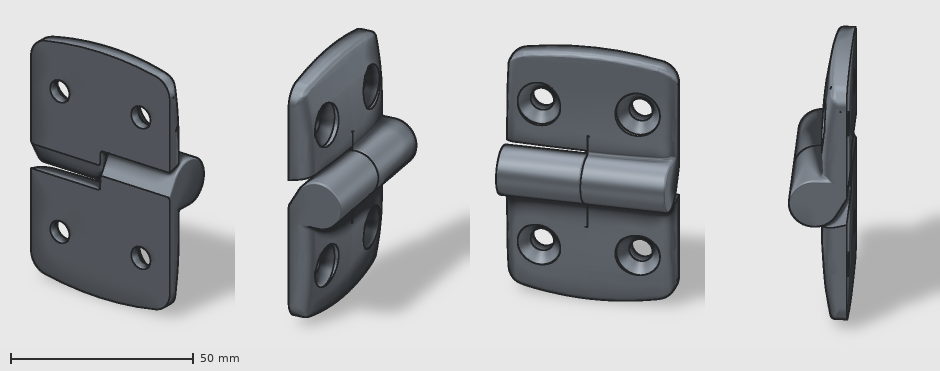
import cadquery as cq
import math


half_width = 24.0
mount_to_barrel_top = 15.95

barrel_radius = 7.0
barrel_y = mount_to_barrel_top - barrel_radius
barrel_end_round = 0.6
tangent_angle = 30.0
root_fillet = 1.0

upper_length = 35.75
lower_length = 38.5
plate_thickness = 7.9
end_radius = 100.0
corner_radius = 6.0
crown_radius = 170.0
shoulder_radius = 3.75
taper_radius = 100.0
taper_length = 23.4
taper_sweep = 16.0
end_round = 1.5
plate_root = barrel_radius / 2

relief_radius = barrel_radius + 1.0
relief_slope = 14.0
relief_corner = 1.0

hole_x = 14.0
upper_hole_z = 20.0
lower_hole_z = 22.5
hole_diameter = 6.6
sink_diameter = 12.4
sink_angle = 90.0
sink_y = 6.2


def crowned_outline(plane, base, top, bow_radius, round_radius):
    """Plate-wide outline with a straight base, a bowed top and rounded top corners."""
    bow_center = top - bow_radius
    round_x = half_width - round_radius
    reach = bow_radius - round_radius
    round_y = bow_center + math.sqrt(reach**2 - round_x**2)
    lean = math.asin(round_x / reach)
    bow_x = bow_radius * math.sin(lean)
    bow_y = bow_center + bow_radius * math.cos(lean)
    mid_lean = (lean + math.pi / 2) / 2
    mid_x = round_x + round_radius * math.sin(mid_lean)
    mid_y = round_y + round_radius * math.cos(mid_lean)
    return (
        plane.moveTo(-half_width, base)
        .lineTo(half_width, base)
        .lineTo(half_width, round_y)
        .threePointArc((mid_x, mid_y), (bow_x, bow_y))
        .threePointArc((0, top), (-bow_x, bow_y))
        .threePointArc((-mid_x, mid_y), (-half_width, round_y))
        .close()
    )


def crowned_strip(taper_start):
    """Full-thickness stretch of the plate beside the barrel, crowned across."""
    section_plane = cq.Workplane("XY", origin=(0, 0, plate_root))
    section = crowned_outline(section_plane, 0, plate_thickness, crown_radius, shoulder_radius)
    return section.extrude(taper_start - plate_root)


def crowned_plate(length):
    """Plate cut to its outline, crowned across and tapering towards its outer end."""
    taper_start = length - taper_length
    taper_axis_y = plate_thickness - taper_radius
    section_plane = cq.Workplane("XY", origin=(0, 0, taper_start))
    section = crowned_outline(section_plane, 0, plate_thickness, crown_radius, shoulder_radius)
    tapered = section.revolve(taper_sweep, (0, taper_axis_y, 0), (1, taper_axis_y, 0))
    outline = crowned_outline(cq.Workplane("XZ"), plate_root, length, end_radius, corner_radius)
    blank = outline.extrude(-mount_to_barrel_top)
    plate = crowned_strip(taper_start).union(tapered).intersect(blank)
    end_edge = cq.selectors.NearestToPointSelector((0, plate_thickness, length))
    return plate.edges(end_edge).fillet(end_round)


def barrel():
    """Half-width barrel with a flat top and a sloping web that reach the mounting face."""
    angle = math.radians(tangent_angle)
    tangent_y = barrel_y - barrel_radius * math.cos(angle)
    tangent_z = -barrel_radius * math.sin(angle)
    web_edge_z = tangent_z + tangent_y / math.tan(angle)
    profile = (
        cq.Workplane("YZ", origin=(-half_width, 0, 0))
        .moveTo(0, barrel_radius)
        .lineTo(0, web_edge_z)
        .lineTo(tangent_y, tangent_z)
        .threePointArc((mount_to_barrel_top, 0), (barrel_y, barrel_radius))
        .close()
    )
    bar = profile.extrude(half_width)
    return bar.faces("<X").edges("not(<Y)").fillet(barrel_end_round)


def barrel_side(taper_start):
    """Block around the barrel's half of the leaf, up to where the plate starts to taper."""
    block = cq.Workplane("XY").box(half_width, 2 * mount_to_barrel_top, 2 * taper_start)
    return block.translate((-half_width / 2, 0, 0))


def rooted_barrel(taper_start):
    """Barrel blended into the stretch of plate above it, with its inner end rounded last."""
    root = crowned_strip(taper_start).intersect(barrel_side(taper_start)).union(barrel())
    root_edge = cq.selectors.NearestToPointSelector((-half_width / 2, plate_thickness - root_fillet, barrel_radius))
    root = root.edges(root_edge).fillet(root_fillet)
    below_root = cq.selectors.BoxSelector(
        (-1, -1, -mount_to_barrel_top), (1, 2 * mount_to_barrel_top, barrel_radius + 0.01)
    )
    return root.faces(">X").edges(below_root).edges("not(<Y)").fillet(barrel_end_round)


def barrel_relief():
    """Cutter that clears the other leaf's barrel on the far half of the plate."""
    slope = math.radians(relief_slope)
    front_z = relief_radius / math.cos(slope) - barrel_y * math.tan(slope)
    rear_z = front_z + mount_to_barrel_top * math.tan(slope)
    cutter = (
        cq.Workplane("YZ")
        .polyline([(0, 0), (0, front_z), (mount_to_barrel_top, rear_z), (mount_to_barrel_top, 0)])
        .close()
        .extrude(2 * half_width)
    )
    return cutter.faces("<X").edges(">Z").fillet(relief_corner)


def screw_holes(hole_z):
    """Cutter for the two countersunk holes, entered from the crowned side."""
    sink_depth = (sink_diameter - hole_diameter) / 2 / math.tan(math.radians(sink_angle / 2))
    centers = [(-hole_x, hole_z), (hole_x, hole_z)]
    shanks = cq.Workplane("XZ").pushPoints(centers).circle(hole_diameter / 2).extrude(-mount_to_barrel_top)
    cones = (
        cq.Workplane("XZ", origin=(0, sink_y, 0))
        .pushPoints(centers)
        .circle(sink_diameter / 2)
        .extrude(sink_depth, taper=sink_angle / 2)
    )
    mouths = (
        cq.Workplane("XZ", origin=(0, sink_y, 0))
        .pushPoints(centers)
        .circle(sink_diameter / 2)
        .extrude(-barrel_radius)
    )
    return shanks.union(cones).union(mouths)


def hinge_leaf(length, hole_z):
    """Leaf that rises from the pivot, with its barrel on the -X half."""
    taper_start = length - taper_length
    plate = crowned_plate(length).cut(barrel_relief()).cut(barrel_side(taper_start))
    leaf = plate.union(rooted_barrel(taper_start))
    return leaf.cut(screw_holes(hole_z))


upper_leaf = hinge_leaf(upper_length, upper_hole_z)
lower_leaf = hinge_leaf(lower_length, lower_hole_z).rotate((0, 0, 0), (0, 1, 0), 180)

result = cq.Compound.makeCompound([upper_leaf.val(), lower_leaf.val()])